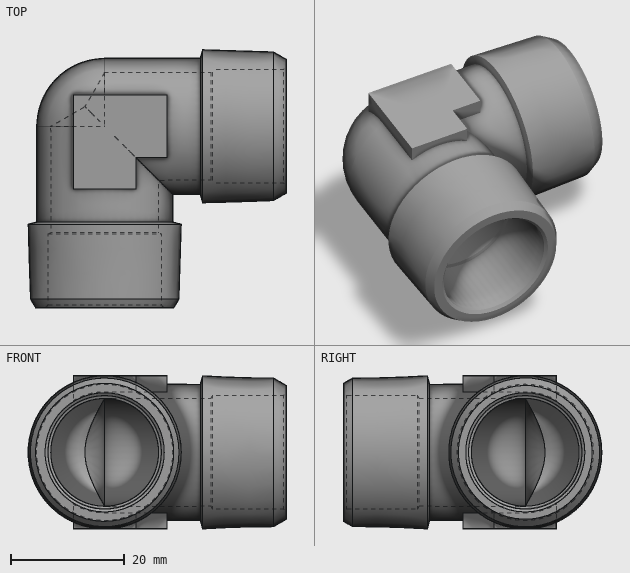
import cadquery as cq
import math

body_radius = 12.0
arm_length = 32.0

collar_radius = 13.5
collar_shoulder = 17.25
shoulder_angle = 15.0
collar_taper = 1 / 16
shoulder_length = (collar_radius - body_radius) * math.tan(math.radians(shoulder_angle))

bevel_angle = 30.0
x_bevel_length = 2.3
y_bevel_length = 1.6

bore_radius = 9.5
counterbore_radius = 10.0
counterbore_depth = 13.0
mouth_radius = 10.5
mouth_depth = 0.5
drill_point_angle = 120.0
drill_slope = math.tan(math.radians(drill_point_angle / 2))
drill_point_length = bore_radius / drill_slope
step_length = (counterbore_radius - bore_radius) / drill_slope

pad_half_width = 5.5
pad_reach = 11.0
pad_height = 27.0


def revolve_arm(outline):
    """Turn an (axial, radial) outline about the X axis."""
    return cq.Workplane("XY").polyline(outline).close().revolve(360, (0, 0, 0), (1, 0, 0))


def turn_to_minus_y(arm):
    """Swing an arm that points along +X round to -Y."""
    return arm.rotate((0, 0, 0), (0, 0, 1), -90)


def arm_solid(bevel_length):
    """Plain arm with a tapered collar and a bevelled outer end."""
    bevel_start = arm_length - bevel_length
    bevel_radius = collar_radius - (bevel_start - collar_shoulder) * collar_taper / 2
    end_radius = bevel_radius - bevel_length * math.tan(math.radians(bevel_angle))
    return revolve_arm([
        (0, 0),
        (0, body_radius),
        (collar_shoulder - shoulder_length, body_radius),
        (collar_shoulder, collar_radius),
        (bevel_start, bevel_radius),
        (arm_length, end_radius),
        (arm_length, 0),
    ])


def arm_bore():
    """Bore with a mouth chamfer, a counterbore and a drill point past the elbow centre."""
    counterbore_end = arm_length - counterbore_depth
    return revolve_arm([
        (-drill_point_length, 0),
        (0, bore_radius),
        (counterbore_end - step_length, bore_radius),
        (counterbore_end, counterbore_radius),
        (arm_length - mouth_depth, counterbore_radius),
        (arm_length, mouth_radius),
        (arm_length, 0),
    ])


def wrench_pads():
    """L-shaped prism whose ends stand out of the elbow as two flat pads."""
    return (
        cq.Workplane("XY")
        .moveTo(-pad_half_width, pad_half_width)
        .lineTo(pad_reach, pad_half_width)
        .lineTo(pad_reach, -pad_half_width)
        .lineTo(pad_half_width, -pad_half_width)
        .lineTo(pad_half_width, -pad_reach)
        .lineTo(-pad_half_width, -pad_reach)
        .close()
        .extrude(pad_height / 2, both=True)
    )


elbow = cq.Workplane("XY").sphere(body_radius)
elbow = elbow.union(arm_solid(x_bevel_length))
elbow = elbow.union(turn_to_minus_y(arm_solid(y_bevel_length)))
elbow = elbow.union(wrench_pads())

result = elbow.cut(arm_bore()).cut(turn_to_minus_y(arm_bore()))